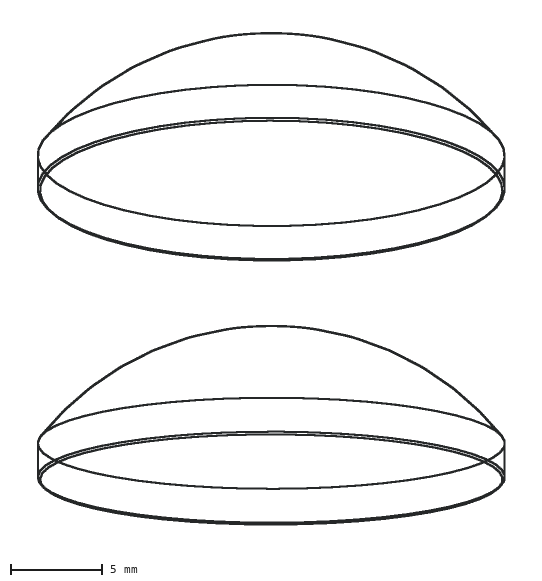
import cadquery as cq

radius = 12.7
height = 8.2
rim_height = 2.0
bevel = 0.13

dome_sag = height - rim_height
dome_radius = (radius**2 + dome_sag**2) / (2 * dome_sag)
mid_x = radius / 2
mid_z = height - dome_radius + (dome_radius**2 - mid_x**2) ** 0.5

half_section = (
    cq.Workplane("XZ")
    .moveTo(0, 0)
    .lineTo(radius - bevel, 0)
    .lineTo(radius, bevel)
    .lineTo(radius, rim_height)
    .threePointArc((mid_x, mid_z), (0, height))
    .close()
)
result = half_section.revolve(360, (0, 0, 0), (0, 1, 0))